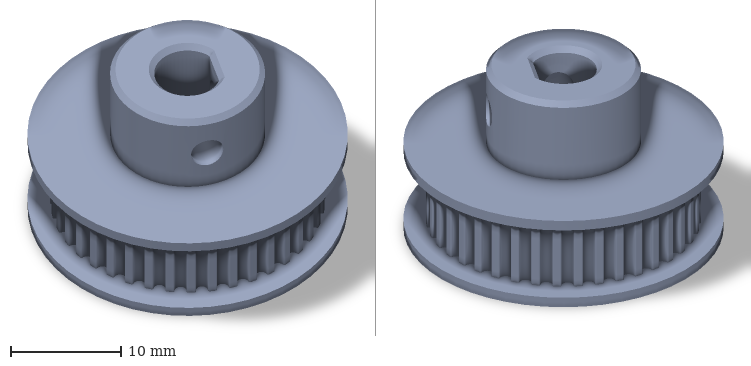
import cadquery as cq
import math

flange_radius = 14.5
flange_thickness = 1.0

tooth_count = 40
rim_height = 7.02
rim_radius = 12.47
groove_depth = 0.75
groove_radius = 0.55
lip_radius = 0.15

hub_radius = 7.02
hub_height = 8.0
edge_chamfer = 0.5

bore_radius = 3.02
flat_offset = 2.5

screw_hole_radius = 1.5
screw_height_on_hub = 4.0

flange_top = 2 * flange_thickness + rim_height
total_height = flange_top + hub_height


def polar(radius, angle):
    return (radius * math.cos(angle), radius * math.sin(angle))


def disc(radius, bottom, height):
    return cq.Workplane("XY").workplane(offset=bottom).circle(radius).extrude(height)


def toothed_rim():
    """Ring of round-bottomed belt grooves, the first one centred on +X."""
    pitch_angle = 2 * math.pi / tooth_count
    groove_floor = rim_radius - groove_depth
    groove_centre = groove_floor + groove_radius
    lip_centre = rim_radius - lip_radius
    reach = groove_radius + lip_radius

    lip_cosine = (lip_centre**2 + groove_centre**2 - reach**2) / (2 * lip_centre * groove_centre)
    lip_angle = math.acos(lip_cosine)
    lip_x, lip_y = polar(lip_centre, lip_angle)
    joint_x = groove_centre + (lip_x - groove_centre) * groove_radius / reach
    joint_y = lip_y * groove_radius / reach
    joint_radius = math.hypot(joint_x, joint_y)
    joint_angle = math.atan2(joint_y, joint_x)

    to_groove = math.atan2(-lip_y, groove_centre - lip_x)
    bulge = (lip_angle + to_groove) / 2
    middle_x = lip_x + lip_radius * math.cos(bulge)
    middle_y = lip_y + lip_radius * math.sin(bulge)
    middle_radius = math.hypot(middle_x, middle_y)
    middle_angle = math.atan2(middle_y, middle_x)

    outline = cq.Workplane("XY").workplane(offset=flange_thickness).moveTo(*polar(rim_radius, -lip_angle))
    for index in range(tooth_count):
        centre = index * pitch_angle
        outline = (
            outline
            .threePointArc(polar(middle_radius, centre - middle_angle), polar(joint_radius, centre - joint_angle))
            .threePointArc(polar(groove_floor, centre), polar(joint_radius, centre + joint_angle))
            .threePointArc(polar(middle_radius, centre + middle_angle), polar(rim_radius, centre + lip_angle))
            .threePointArc(
                polar(rim_radius, centre + pitch_angle / 2),
                polar(rim_radius, centre + pitch_angle - lip_angle),
            )
        )
    return outline.close().extrude(rim_height)


def hub():
    return disc(hub_radius, flange_top, hub_height).faces(">Z").chamfer(edge_chamfer)


def d_outline(offset, height):
    """Closed D outline at the given height, enlarged all round by the given offset."""
    radius = bore_radius + offset
    flat_y = flat_offset + offset
    half_flat = math.sqrt(radius**2 - flat_y**2)
    return (
        cq.Workplane("XY")
        .workplane(offset=height)
        .moveTo(-half_flat, flat_y)
        .threePointArc((0, -radius), (half_flat, flat_y))
        .close()
    )


def bore():
    """Through bore with a 45 degree chamfered mouth at the top."""
    mouth = d_outline(edge_chamfer, total_height).extrude(-edge_chamfer, taper=45)
    return d_outline(0, 0).extrude(total_height).union(mouth)


def screw_hole(plane):
    """Radial hole from the bore axis out through the hub along the plane normal."""
    direction = cq.Plane.named(plane).zDir
    start = cq.Vector(0, 0, flange_top + screw_height_on_hub)
    return cq.Workplane(cq.Solid.makeCylinder(screw_hole_radius, hub_radius, start, direction))


result = (
    disc(flange_radius, 0, flange_thickness)
    .union(toothed_rim())
    .union(disc(flange_radius, flange_thickness + rim_height, flange_thickness))
    .union(hub())
    .cut(bore())
    .cut(screw_hole("YZ"))
    .cut(screw_hole("ZX"))
)